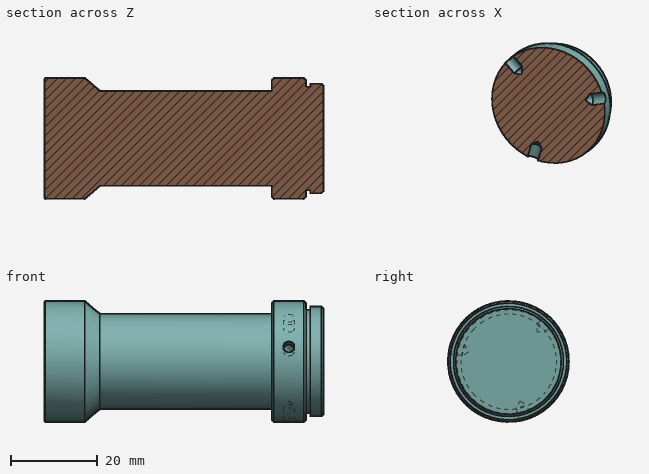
import cadquery as cq

length = 64.5
outer_radius = 14.0

head_length = 9.35
head_chamfer = 0.25
cone_end = 12.85
barrel_radius = 11.0

collar_start = 52.5
collar_end = 60.45
collar_chamfer = 0.5

neck_radius = 12.0
lip_start = 61.4
lip_radius = 12.7
lip_chamfer = 0.5

hole_count = 3
first_hole_angle = 46.0
hole_radius = 1.3
hole_depth = 3.2
hole_tip_depth = hole_radius


def turned_body():
    """Revolve the half profile (distance along X, radius) about the X axis."""
    profile = [
        (0, 0),
        (0, outer_radius - head_chamfer),
        (head_chamfer, outer_radius),
        (head_length, outer_radius),
        (cone_end, barrel_radius),
        (collar_start, barrel_radius),
        (collar_start, outer_radius - collar_chamfer),
        (collar_start + collar_chamfer, outer_radius),
        (collar_end - collar_chamfer, outer_radius),
        (collar_end, outer_radius - collar_chamfer),
        (collar_end, neck_radius),
        (lip_start, neck_radius),
        (lip_start, lip_radius),
        (length - lip_chamfer, lip_radius),
        (length, lip_radius - lip_chamfer),
        (length, 0),
    ]
    return cq.Workplane("XY").polyline(profile).close().revolve(360, (0, 0, 0), (1, 0, 0))


def radial_hole(angle):
    """Blind hole with a conical tip, pointing at the X axis."""
    center = (collar_start + collar_end) / 2
    mouth = outer_radius + hole_radius
    floor = outer_radius - hole_depth
    half_section = [
        (center, mouth),
        (center + hole_radius, mouth),
        (center + hole_radius, floor),
        (center, floor - hole_tip_depth),
    ]
    cutter = cq.Workplane("XY").polyline(half_section).close().revolve(360, (center, 0, 0), (center, 1, 0))
    return cutter.rotate((0, 0, 0), (1, 0, 0), angle)


result = turned_body()
for index in range(hole_count):
    result = result.cut(radial_hole(first_hole_angle + index * 360 / hole_count))